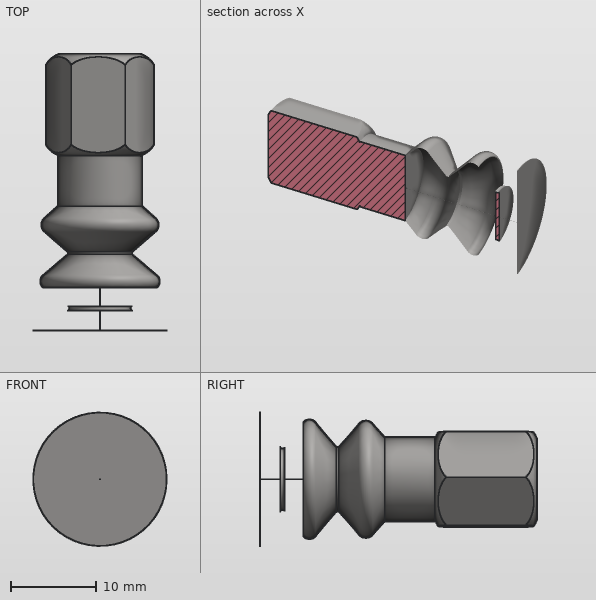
import cadquery as cq
import math

total_length = 32.5

hex_across_flats = 11.0
hex_length = 12.0
hex_turn = 2.2
hex_end_radius = 4.7
hex_round_length = 1.33
hex_round_at_flat = 0.4
hex_start = total_length - hex_length
hex_corner_radius = hex_across_flats / math.sqrt(3)

neck_radius = 9.95 / 2
neck_start = 14.62

bellows_wall = 0.1
upper_fold_top = (6.55, 13.2)
upper_fold_crest = (6.9, 12.4)
upper_fold_bottom = (6.53, 11.65)
waist_radius = 3.8
waist_top = 9.25
waist_bottom = 8.97
lip_top = (6.6, 6.6)
lip_crest = (7.02, 5.82)
lip_end = (6.65, 5.07)

ring_front_radius = 3.8
ring_back_radius = 3.7
ring_groove_radius = 3.6
ring_front = 2.37
ring_back = 2.9

disc_radius = 15.65 / 2
disc_thickness = 0.05
stem_radius = 0.015


def cylinder(radius, start, end):
    """Cylinder on the Y axis between two y positions."""
    return cq.Workplane("XZ", origin=(0, end, 0)).circle(radius).extrude(end - start)


def revolve_about_y(profile):
    """Full revolution of a closed XY profile about the Y axis."""
    return profile.close().revolve(360, (0, 0, 0), (0, 1, 0))


def make_hexagon():
    prism = (
        cq.Workplane("XZ", origin=(0, total_length, 0))
        .polygon(6, 2 * hex_corner_radius)
        .extrude(hex_length)
        .rotate((0, 0, 0), (0, 1, 0), -hex_turn)
    )
    flat_radius = hex_across_flats / 2
    envelope = revolve_about_y(
        cq.Workplane("XY")
        .moveTo(0, hex_start)
        .lineTo(hex_end_radius, hex_start)
        .threePointArc(
            (flat_radius, hex_start + hex_round_at_flat),
            (hex_corner_radius, hex_start + hex_round_length),
        )
        .lineTo(hex_corner_radius, total_length - hex_round_length)
        .threePointArc(
            (flat_radius, total_length - hex_round_at_flat),
            (hex_end_radius, total_length),
        )
        .lineTo(0, total_length)
    )
    return prism.intersect(envelope)


def bellows_body(inset):
    """Solid bounded by the bellows outline moved inward by inset."""
    def inward(point):
        return (point[0] - inset, point[1])

    return revolve_about_y(
        cq.Workplane("XY")
        .moveTo(0, neck_start)
        .lineTo(neck_radius - inset, neck_start)
        .lineTo(*inward(upper_fold_top))
        .threePointArc(inward(upper_fold_crest), inward(upper_fold_bottom))
        .lineTo(waist_radius - inset, waist_top)
        .lineTo(waist_radius - inset, waist_bottom)
        .lineTo(*inward(lip_top))
        .threePointArc(inward(lip_crest), inward(lip_end))
        .lineTo(0, lip_end[1])
    )


def make_ring():
    return revolve_about_y(
        cq.Workplane("XY")
        .moveTo(0, ring_front)
        .lineTo(ring_front_radius, ring_front)
        .threePointArc(
            (ring_groove_radius, (ring_front + ring_back) / 2),
            (ring_back_radius, ring_back),
        )
        .lineTo(0, ring_back)
    )


bellows = bellows_body(0).cut(bellows_body(bellows_wall))
neck = cylinder(neck_radius, neck_start, hex_start)
disc = cylinder(disc_radius, 0, disc_thickness)
stem = cylinder(stem_radius, disc_thickness / 2, hex_start)

result = make_hexagon().union(neck).union(bellows).union(stem).union(make_ring()).union(disc)